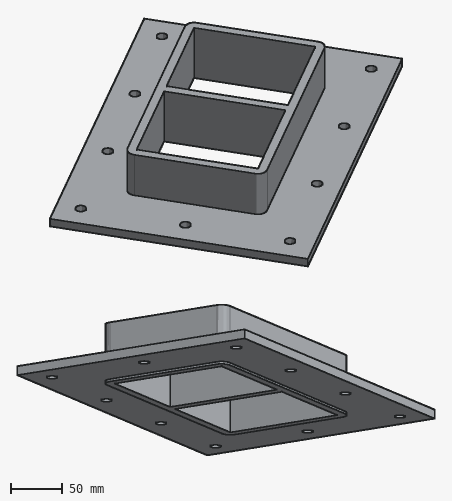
import cadquery as cq

plate_width = 260.5
plate_length = 352.0
plate_thickness = 9.0

sleeve_width = 140.8
sleeve_length = 232.3
sleeve_height = 60.0
sleeve_drop = 2.5
wall = 9.0
corner_radius = 9.0

opening_width = sleeve_width - 2 * wall
opening_length = (sleeve_length - 3 * wall) / 2
opening_offset = (opening_length + wall) / 2

hole_diameter = 10.5
hole_edge_distance = 24.5
hole_columns = 3
hole_rows = 4
hole_pitch_x = (plate_width - 2 * hole_edge_distance) / (hole_columns - 1)
hole_pitch_y = (plate_length - 2 * hole_edge_distance) / (hole_rows - 1)


def bolt_positions():
    """Grid points on the border of the bolt pattern."""
    points = []
    for column in range(hole_columns):
        for row in range(hole_rows):
            if column in (0, hole_columns - 1) or row in (0, hole_rows - 1):
                x = hole_edge_distance - plate_width / 2 + column * hole_pitch_x
                y = hole_edge_distance - plate_length / 2 + row * hole_pitch_y
                points.append((x, y))
    return points


plate = (
    cq.Workplane("XY")
    .rect(plate_width, plate_length)
    .extrude(plate_thickness)
    .faces(">Z")
    .workplane()
    .pushPoints(bolt_positions())
    .hole(hole_diameter)
)

sleeve = (
    cq.Workplane("XY", origin=(0, 0, -sleeve_drop))
    .rect(sleeve_width, sleeve_length)
    .extrude(sleeve_height)
    .edges("|Z")
    .fillet(corner_radius)
)

openings = (
    cq.Workplane("XY", origin=(0, 0, -sleeve_drop))
    .pushPoints([(0, -opening_offset), (0, opening_offset)])
    .rect(opening_width, opening_length)
    .extrude(sleeve_height)
)

result = plate.union(sleeve).cut(openings)